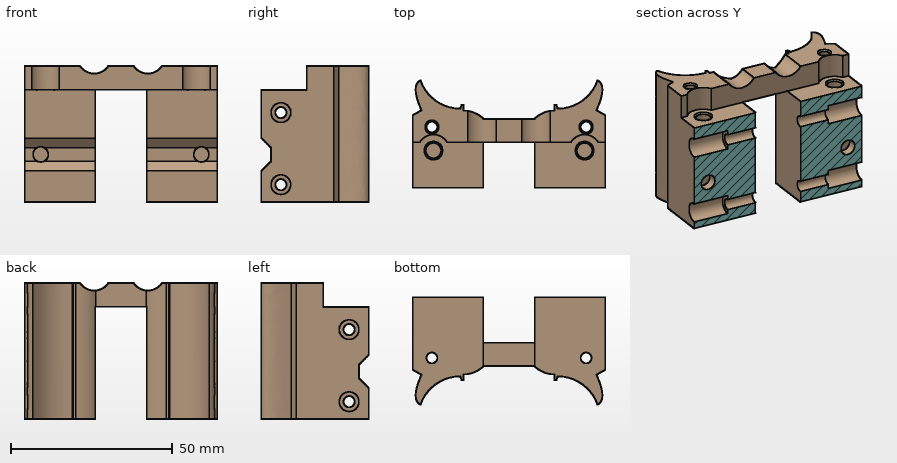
import cadquery as cq
import math

width = 59.85
depth = 33.4
height = 42.4
half_width = width / 2

leg_gap = 16.0
step_height = 7.5
ledge_z = height - step_height
ledge_depth = 14.05

bridge_back_y = 21.45
shoulder_radius = 8.8
fin_inner_x = 14.1
fin_base_y = 24.0
fin_top_y = 25.75
fin_tip_x = 14.8
cradle_start_x = 15.15
cradle_start_y = 24.6
horn_tip_x = 27.5
horn_side_x = 29.05
horn_side_y = 30.1
horn_upper_x = 28.6
horn_upper_y = 32.3
notch_x = 27.25
notch_y = 24.05
side_wall_y = 22.6

channel_offset = 8.3
channel_radius = 5.25
channel_depth = 2.4

groove_z = 14.85
groove_floor = 4.2
groove_depth = 3.0
groove_mouth = groove_floor + 2 * groove_depth

hole_chamfer = 0.5
ledge_hole_x = 23.45
ledge_hole_y = 11.55
ledge_hole_diameter = 4.7
ledge_hole_depth = 12.0
relief_radius = 4.95
rear_hole_x = 23.95
rear_hole_y = 18.85
rear_hole_diameter = 3.3

pin_hole_x = 24.95
pin_hole_diameter = 4.7
pin_hole_depth = 6.0

cross_hole_y = 6.1
cross_hole_heights = (5.45, 27.85)
cross_hole_diameter = 3.4
counterbore_diameter = 6.1
counterbore_depth = 12.0


def cylinder(start, direction, diameter, length):
    return cq.Workplane(cq.Solid.makeCylinder(diameter / 2, length, cq.Vector(*start), cq.Vector(*direction)))


def chamfered_hole(x, y, top_z, diameter, hole_depth):
    """Vertical hole cutter with a 45 degree chamfer at its mouth."""
    radius = diameter / 2
    bore = cylinder((x, y, top_z), (0, 0, -1), diameter, hole_depth)
    mouth = cq.Solid.makeCone(
        radius + hole_chamfer, radius, hole_chamfer, cq.Vector(x, y, top_z), cq.Vector(0, 0, -1)
    )
    return bore.union(cq.Workplane(mouth))


def make_half_body():
    """Right half of the extruded plan outline, with its horn, cradle and fin."""
    shoulder_drop = fin_base_y - bridge_back_y
    shoulder_angle = math.acos(1 - shoulder_drop / shoulder_radius)
    shoulder_end_x = fin_inner_x - shoulder_radius * math.sin(shoulder_angle)
    shoulder_mid_x = fin_inner_x - shoulder_radius * math.sin(shoulder_angle / 2)
    shoulder_mid_y = fin_base_y - shoulder_radius * (1 - math.cos(shoulder_angle / 2))

    cradle_run = horn_tip_x - cradle_start_x
    cradle_rise = depth - cradle_start_y
    cradle_radius = (cradle_run**2 + cradle_rise**2) / (2 * cradle_rise)
    cradle_angle = math.asin(cradle_run / cradle_radius)
    cradle_mid_x = cradle_start_x + cradle_radius * math.sin(cradle_angle / 2)
    cradle_mid_y = cradle_start_y + cradle_radius * (1 - math.cos(cradle_angle / 2))

    return (
        cq.Workplane("XY")
        .moveTo(0, 0)
        .lineTo(0, bridge_back_y)
        .lineTo(shoulder_end_x, bridge_back_y)
        .threePointArc((shoulder_mid_x, shoulder_mid_y), (fin_inner_x, fin_base_y))
        .lineTo(fin_inner_x, fin_top_y)
        .lineTo(fin_tip_x, fin_top_y)
        .lineTo(cradle_start_x, cradle_start_y)
        .threePointArc((cradle_mid_x, cradle_mid_y), (horn_tip_x, depth))
        .spline(
            [(horn_upper_x, horn_upper_y), (horn_side_x, horn_side_y), (notch_x, notch_y)],
            includeCurrent=True,
        )
        .lineTo(half_width, side_wall_y)
        .lineTo(half_width, 0)
        .close()
        .extrude(height)
    )


def cut_ledge(body):
    ledge = cq.Workplane("XY").box(width, ledge_depth, step_height, centered=(True, False, False))
    return body.cut(ledge.translate((0, 0, ledge_z)))


def cut_leg_gap(body):
    gap = cq.Workplane("XY").box(leg_gap, depth, ledge_z, centered=(True, False, False))
    return body.cut(gap)


def cut_groove(body):
    groove = (
        cq.Workplane("YZ")
        .polyline([
            (0, groove_z - groove_mouth / 2),
            (groove_depth, groove_z - groove_floor / 2),
            (groove_depth, groove_z + groove_floor / 2),
            (0, groove_z + groove_mouth / 2),
        ])
        .close()
        .extrude(half_width, both=True)
    )
    return body.cut(groove)


def cut_side_features(body, side):
    """Channel, relief and holes of one side; side is -1 for left, +1 for right."""
    channel_z = height - channel_depth + channel_radius
    channel_start = (side * channel_offset, 0, channel_z)
    body = body.cut(cylinder(channel_start, (0, 1, 0), 2 * channel_radius, depth))

    ledge_hole = side * ledge_hole_x
    relief_start = (ledge_hole, ledge_hole_y, ledge_z)
    body = body.cut(cylinder(relief_start, (0, 0, 1), 2 * relief_radius, step_height))
    body = body.cut(chamfered_hole(ledge_hole, ledge_hole_y, ledge_z, ledge_hole_diameter, ledge_hole_depth))
    body = body.cut(chamfered_hole(side * rear_hole_x, rear_hole_y, height, rear_hole_diameter, height))

    pin_start = (side * pin_hole_x, 0, groove_z)
    body = body.cut(cylinder(pin_start, (0, 1, 0), pin_hole_diameter, groove_depth + pin_hole_depth))

    for hole_z in cross_hole_heights:
        outer_start = (side * half_width, cross_hole_y, hole_z)
        inward = (-side, 0, 0)
        body = body.cut(cylinder(outer_start, inward, cross_hole_diameter, half_width))
        body = body.cut(cylinder(outer_start, inward, counterbore_diameter, counterbore_depth))
    return body


half_body = make_half_body()
result = half_body.union(half_body.mirror("YZ"))
result = cut_ledge(result)
result = cut_leg_gap(result)
result = cut_groove(result)
for side in (-1, 1):
    result = cut_side_features(result, side)